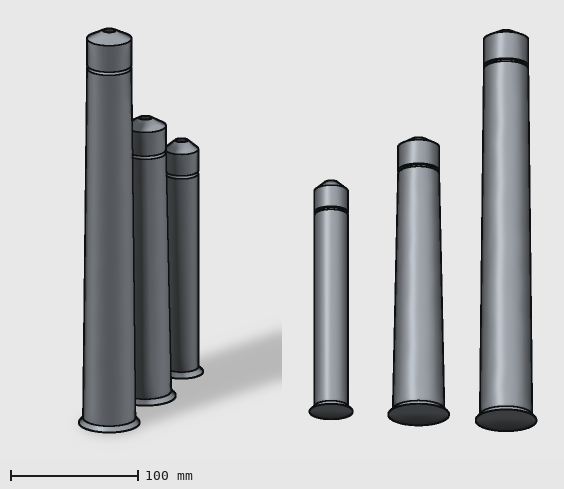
import cadquery as cq

OVERALL_LENGTH = 180.7
OVERALL_HEIGHT = 328.5
RAISED_BASE = 2.3

WIDE_FOOT_DIAMETER = 48.0
SMALL_FOOT_DIAMETER = 34.2
PITCH = (OVERALL_LENGTH - WIDE_FOOT_DIAMETER / 2 - SMALL_FOOT_DIAMETER / 2) / 2

FOOT_RIM_THICKNESS = 0.3
FLARE_HEIGHT = 4.3
NECK_CHAMFER = 2.5
BORE_DIAMETER = 8.2
TIP_DIAMETER = 10.2

POSTS = [
    dict(y=-PITCH, base_z=RAISED_BASE, top_z=OVERALL_HEIGHT, foot_diameter=WIDE_FOOT_DIAMETER,
         shaft_diameter=41.5, cap_diameter=35.0, cap_side=22.0, cone_height=6.5),
    dict(y=0, base_z=RAISED_BASE, top_z=233.5, foot_diameter=WIDE_FOOT_DIAMETER,
         shaft_diameter=40.7, cap_diameter=32.5, cap_side=19.7, cone_height=6.5),
    dict(y=PITCH, base_z=0, top_z=192.5, foot_diameter=SMALL_FOOT_DIAMETER,
         shaft_diameter=26.5, cap_diameter=26.5, cap_side=17.7, cone_height=7.2),
]


def revolve_at(outline, y, z):
    """Solid of revolution about a vertical axis, from (radius, height) points."""
    profile = cq.Workplane("XZ").polyline(outline).close()
    return profile.revolve(360, (0, 0, 0), (0, 1, 0)).translate((0, y, z))


def make_post(y, base_z, height, foot_diameter, shaft_diameter, top_diameter):
    """Solid post: flared foot, straight or tapered shaft, bevelled top."""
    foot_radius = foot_diameter / 2
    top_radius = top_diameter / 2
    outline = [
        (0, 0),
        (foot_radius, 0),
        (foot_radius, FOOT_RIM_THICKNESS),
        (shaft_diameter / 2, FLARE_HEIGHT),
        (top_radius, height - NECK_CHAMFER),
        (top_radius - NECK_CHAMFER, height),
        (0, height),
    ]
    return revolve_at(outline, y, base_z)


def make_cap(y, base_z, diameter, side_height, cone_height):
    """Cylindrical cap with a conical top and a hole along its axis."""
    bore_radius = BORE_DIAMETER / 2
    radius = diameter / 2
    tip_height = side_height + cone_height
    outline = [
        (bore_radius, 0),
        (radius, 0),
        (radius, side_height),
        (TIP_DIAMETER / 2, tip_height),
        (bore_radius, tip_height),
    ]
    return revolve_at(outline, y, base_z)


posts = []
caps = []
for size in POSTS:
    cap_z = size["top_z"] - size["cap_side"] - size["cone_height"]
    post_height = cap_z - size["base_z"]
    post = make_post(size["y"], size["base_z"], post_height, size["foot_diameter"],
                     size["shaft_diameter"], size["cap_diameter"])
    cap = make_cap(size["y"], cap_z, size["cap_diameter"], size["cap_side"], size["cone_height"])
    posts.append(post.val())
    caps.append(cap.val())

result = cq.Compound.makeCompound([*posts, *caps])